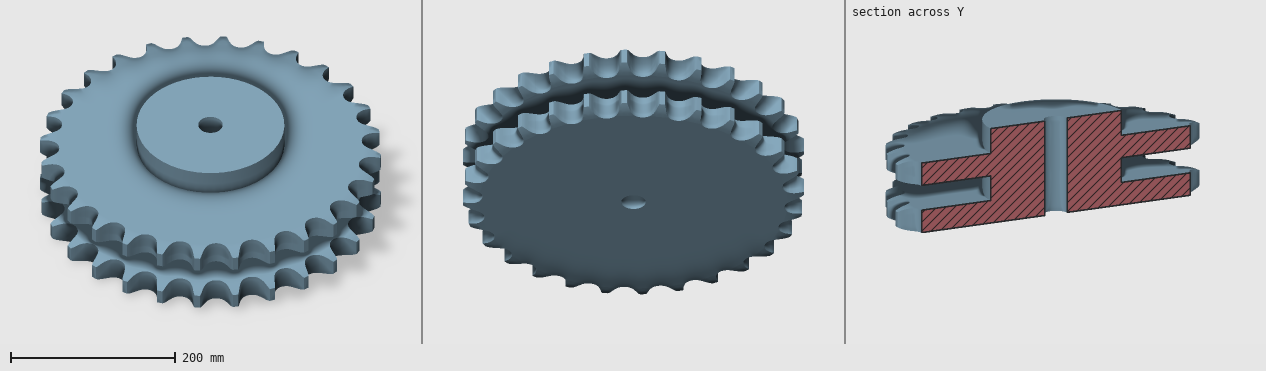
import cadquery as cq
import math

TOOTH_COUNT = 28
PITCH_DIAMETER = 397.0
ROLLER_DIAMETER = 28.0
OVERALL_SIZE = 414.0

PLATE_THICKNESS = 29.0
PLATE_SPACING = 59.5
PLATE_COUNT = 2
RELIEF_START_RADIUS = 187.5
RELIEF_RADIUS = 44.5

HUB_DIAMETER = 180.0
HUB_HEIGHT = 120.0
BORE_DIAMETER = 30.0

SEAT_RADIUS = 0.5025 * ROLLER_DIAMETER
WORKING_RADIUS = 1.3025 * ROLLER_DIAMETER
SEAT_END_DIP = math.radians(35 + 60 / TOOTH_COUNT)
WORKING_SWEEP = math.radians(18 - 56 / TOOTH_COUNT)
TOPPING_ANGLE = math.radians(17 - 64 / TOOTH_COUNT)
FLAT_LENGTH = ROLLER_DIAMETER * (1.4 * math.sin(TOPPING_ANGLE) - 0.8 * math.sin(WORKING_SWEEP))
TOPPING_RADIUS = (
    ROLLER_DIAMETER * (0.8 * math.cos(WORKING_SWEEP) + 1.4 * math.cos(TOPPING_ANGLE)) - WORKING_RADIUS
)

TOOTH_STEP = 2 * math.pi / TOOTH_COUNT


def polar(center, radius, angle):
    return (center[0] + radius * math.cos(angle), center[1] + radius * math.sin(angle))


def rotate(point, angle):
    return polar((0, 0), math.hypot(*point), math.atan2(point[1], point[0]) + angle)


def mirror(point):
    return (point[0], -point[1])


seat_center = (PITCH_DIAMETER / 2, 0)
seat_bottom = (seat_center[0] - SEAT_RADIUS, 0)
seat_end_angle = math.pi / 2 + SEAT_END_DIP
seat_end = polar(seat_center, SEAT_RADIUS, seat_end_angle)

working_center = polar(seat_center, SEAT_RADIUS - WORKING_RADIUS, seat_end_angle)
working_middle = polar(working_center, WORKING_RADIUS, seat_end_angle - WORKING_SWEEP / 2)
flat_angle = seat_end_angle - WORKING_SWEEP
working_end = polar(working_center, WORKING_RADIUS, flat_angle)

flat_end = polar(working_end, FLAT_LENGTH, flat_angle - math.pi / 2)

topping_center = polar(flat_end, TOPPING_RADIUS, flat_angle)
topping_start_angle = flat_angle - math.pi
topping_end_angle = -math.acos((OVERALL_SIZE / 2 - topping_center[0]) / TOPPING_RADIUS)
topping_middle = polar(topping_center, TOPPING_RADIUS, (topping_start_angle + topping_end_angle) / 2)
tip_start = polar(topping_center, TOPPING_RADIUS, topping_end_angle)

tip_radius = math.hypot(*tip_start)
tip_middle = polar((0, 0), tip_radius, TOOTH_STEP / 2)
tip_end = rotate(mirror(tip_start), TOOTH_STEP)


def arc_to(outline, middle, end, turn):
    """Add an arc to the outline, with its points turned around the Z axis."""
    return outline.threePointArc(rotate(middle, turn), rotate(end, turn))


def tooth_outline():
    """Closed outline of a plate: the tooth gap and tip repeated around the Z axis."""
    outline = cq.Workplane("XY").moveTo(*mirror(tip_start))
    for tooth in range(TOOTH_COUNT):
        turn = tooth * TOOTH_STEP
        outline = arc_to(outline, mirror(topping_middle), mirror(flat_end), turn)
        outline = outline.lineTo(*rotate(mirror(working_end), turn))
        outline = arc_to(outline, mirror(working_middle), mirror(seat_end), turn)
        outline = arc_to(outline, seat_bottom, seat_end, turn)
        outline = arc_to(outline, working_middle, working_end, turn)
        outline = outline.lineTo(*rotate(flat_end, turn))
        outline = arc_to(outline, topping_middle, tip_start, turn)
        outline = arc_to(outline, tip_middle, tip_end, turn)
    return outline.close()


def relief_drop(width):
    """Depth of the rounded tooth side at a distance outside the relief circle."""
    return RELIEF_RADIUS - math.sqrt(RELIEF_RADIUS**2 - width**2)


def relieved_disc():
    """Disc whose faces round towards each other from the relief circle out to the tip circle."""
    relief_width = tip_radius - RELIEF_START_RADIUS
    middle_radius = RELIEF_START_RADIUS + relief_width / 2
    middle_drop = relief_drop(relief_width / 2)
    edge_drop = relief_drop(relief_width)
    return (
        cq.Workplane("XZ")
        .lineTo(RELIEF_START_RADIUS, 0)
        .threePointArc((middle_radius, middle_drop), (tip_radius, edge_drop))
        .lineTo(tip_radius, PLATE_THICKNESS - edge_drop)
        .threePointArc((middle_radius, PLATE_THICKNESS - middle_drop), (RELIEF_START_RADIUS, PLATE_THICKNESS))
        .lineTo(0, PLATE_THICKNESS)
        .close()
        .revolve(360, (0, 0, 0), (0, 1, 0))
    )


toothed_plate = tooth_outline().extrude(PLATE_THICKNESS).intersect(relieved_disc())

sprocket = cq.Workplane("XY").circle(HUB_DIAMETER / 2).extrude(HUB_HEIGHT)
for plate in range(PLATE_COUNT):
    sprocket = sprocket.union(toothed_plate.translate((0, 0, plate * PLATE_SPACING)))

bore = cq.Workplane("XY").circle(BORE_DIAMETER / 2).extrude(HUB_HEIGHT)
result = sprocket.cut(bore)